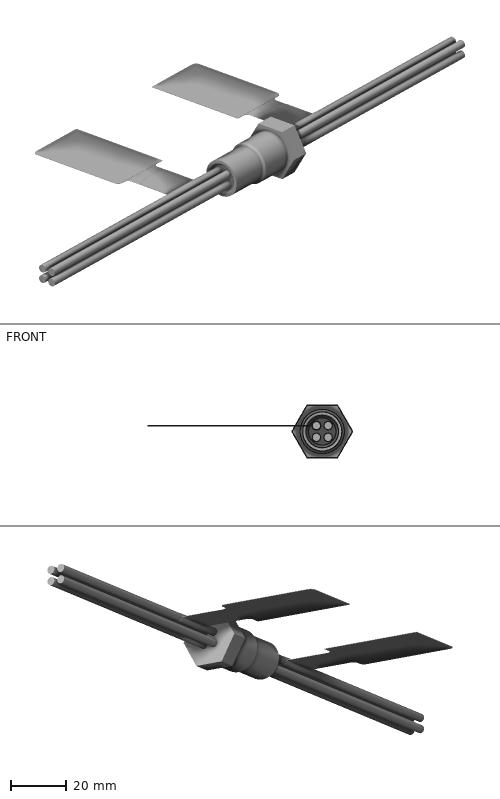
import cadquery as cq
import math

wire_length = 235.0
wire_radius = 1.5
wire_pitch = 4.2
wire_offset = wire_pitch / 2

fitting_length = 35.0
hex_across_flats = 19.0
hex_length = 7.0
shank_radius = 8.0
shank_length = 12.5
shank_cone_length = 0.7
tail_radius = 7.0
bore_radius = 5.0
mouth_chamfer = 1.0
hex_end_y = fitting_length / 2
shank_start_y = hex_end_y - hex_length
shank_end_y = shank_start_y - shank_length
tail_end_y = -fitting_length / 2

ply = 0.1
flag_length = 40.0
flag_width = 25.0
corner_radius = 1.9
strap_width = 15.0
neck_length = 5.0
tag_left_x = -63.0
tag_centers_y = (32.7, -35.5)
flag_end_x = tag_left_x + flag_length
wrap_end_x = flag_end_x + neck_length

tagged_wire_x = -wire_offset
tagged_wire_z = wire_offset


def rod(radius, start_y, end_y, x=0.0, z=0.0):
    """A cylinder along Y, from start_y down to end_y."""
    return cq.Workplane("XZ", origin=(x, start_y, z)).circle(radius).extrude(start_y - end_y)


def sheet(start_x, end_x, center_y, width, bottom_z):
    """A rectangular sheet, one ply thick."""
    return (
        cq.Workplane("XY", origin=((start_x + end_x) / 2, center_y, bottom_z))
        .rect(end_x - start_x, width)
        .extrude(ply)
    )


def make_wire(x, z):
    """A round wire through the whole length of the part."""
    return rod(wire_radius, wire_length / 2, -wire_length / 2, x, z)


def make_fitting():
    """Hexagon, shank and tail, turned about Y and bored right through."""
    hex_diameter = hex_across_flats / math.cos(math.pi / 6)
    hexagon = (
        cq.Workplane("XZ", origin=(0, hex_end_y, 0))
        .polygon(6, hex_diameter)
        .extrude(hex_length)
    )
    turned = (
        cq.Workplane("XY")
        .moveTo(0, shank_start_y)
        .lineTo(shank_radius, shank_start_y)
        .lineTo(shank_radius, shank_end_y)
        .lineTo(tail_radius, shank_end_y - shank_cone_length)
        .lineTo(tail_radius, tail_end_y)
        .lineTo(0, tail_end_y)
        .close()
        .revolve(360, (0, 0, 0), (0, 1, 0))
    )
    bored = hexagon.union(turned).cut(rod(bore_radius, hex_end_y, tail_end_y))
    mouth_rim = bored.faces("<Y").edges(cq.selectors.RadiusNthSelector(0))
    return mouth_rim.chamfer(mouth_chamfer)


def make_potting(enclosed_wires):
    """Plug that fills the bore around the wires, up to the mouth chamfer."""
    plug = rod(bore_radius, hex_end_y, tail_end_y + mouth_chamfer)
    for wire in enclosed_wires:
        plug = plug.cut(wire)
    return plug


def make_tag(center_y):
    """Tag around one wire, with the square, folded edge of its flag toward the fitting."""
    middle_z = tagged_wire_z
    half_width = strap_width / 2
    open_edges = ">Y" if center_y > 0 else "<Y"

    lower_flag = sheet(tag_left_x, flag_end_x, center_y, flag_width, middle_z - ply)
    lower_flag = lower_flag.faces(open_edges).edges("|Z").fillet(corner_radius)
    lower_strap = sheet(flag_end_x, tagged_wire_x, center_y, strap_width, middle_z - ply)
    join_zone = cq.selectors.BoxSelector(
        (flag_end_x - ply, center_y - half_width - ply, middle_z - 2 * ply),
        (flag_end_x + ply, center_y + half_width + ply, middle_z + 2 * ply),
    )
    lower_ply = lower_flag.union(lower_strap).edges("|Z").edges(join_zone).fillet(corner_radius)

    upper_flag = sheet(tag_left_x, flag_end_x, center_y, flag_width, middle_z)
    upper_flag = upper_flag.faces(open_edges).edges("|Z").fillet(corner_radius)
    upper_strap = sheet(wrap_end_x, tagged_wire_x, center_y, strap_width, middle_z)
    upper_strap = upper_strap.faces("<X").edges("|Z").fillet(corner_radius)

    loop = rod(
        wire_radius + ply,
        center_y + half_width,
        center_y - half_width,
        tagged_wire_x,
        middle_z,
    )
    tag = lower_ply.union(upper_flag).union(upper_strap).union(loop)
    return tag.cut(make_wire(tagged_wire_x, middle_z))


fitting = make_fitting()
offsets = (-wire_offset, wire_offset)
wires = [make_wire(x, z) for x in offsets for z in offsets]
potting = make_potting(wires)
tags = [make_tag(center_y) for center_y in tag_centers_y]

result = cq.Compound.makeCompound(
    [
        fitting.val(),
        potting.val(),
        *[wire.val() for wire in wires],
        *[tag.val() for tag in tags],
    ]
)